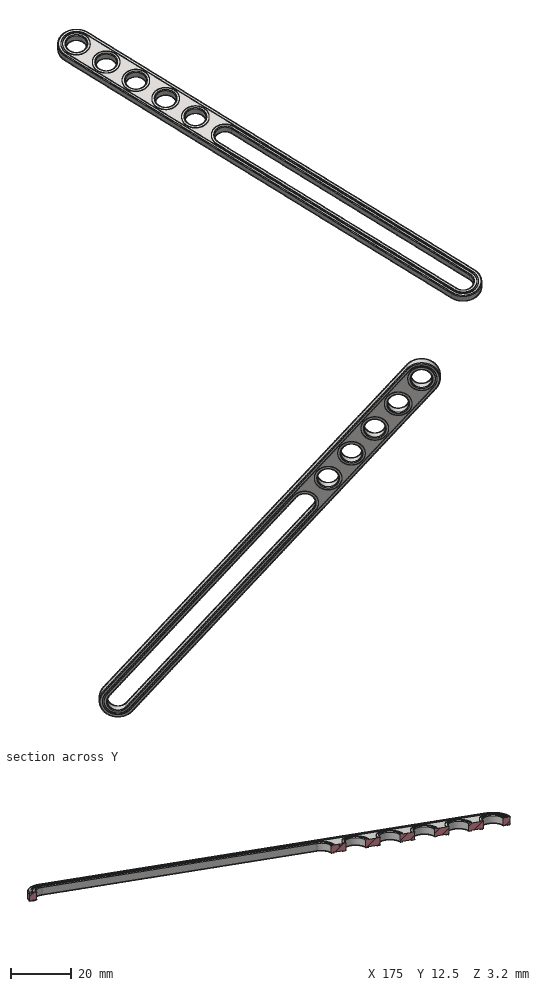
import cadquery as cq

length = 175.0
pitches_along_length = 14
thickness = 3.2
hole_diameter = 7.0
hole_count = 5
rim_width = 1.1
edge_chamfer = 0.3
recess_depth = 0.2

pitch = length / pitches_along_length
width = pitch
end_centre_x = (length - pitch) / 2
hole_centres = [(-end_centre_x + i * pitch, 0) for i in range(hole_count)]
slot_start_x = -end_centre_x + hole_count * pitch
top_z = thickness / 2
bottom_z = -top_z


def rounded_bar(start_x, end_x, bar_width, base_z, height):
    """Straight bar with full-round ends centred on start_x and end_x."""
    middle_x = (start_x + end_x) / 2
    bar_length = end_x - start_x + bar_width
    base = cq.Workplane("XY", origin=(middle_x, 0, base_z))
    return base.slot2D(bar_length, bar_width).extrude(height)


def openings(diameter, base_z, height):
    """The row of round openings and the long slot, whose width equals the diameter."""
    base = cq.Workplane("XY", origin=(0, 0, base_z))
    holes = base.pushPoints(hole_centres).circle(diameter / 2).extrude(height)
    slot = rounded_bar(slot_start_x, end_centre_x, diameter, base_z, height)
    return holes.union(slot)


def panel_recess(base_z):
    """Shallow panel bounded by the outer rim and by the rims around the openings."""
    panel = rounded_bar(-end_centre_x, end_centre_x, width - 2 * rim_width, base_z, recess_depth)
    return panel.cut(openings(hole_diameter + 2 * rim_width, base_z, recess_depth))


bar = rounded_bar(-end_centre_x, end_centre_x, width, bottom_z, thickness)
bar = bar.cut(openings(hole_diameter, bottom_z, thickness))
bar = bar.faces("<Z or >Z").edges().chamfer(edge_chamfer)

for panel_base_z in (bottom_z, top_z - recess_depth):
    bar = bar.cut(panel_recess(panel_base_z))

result = bar